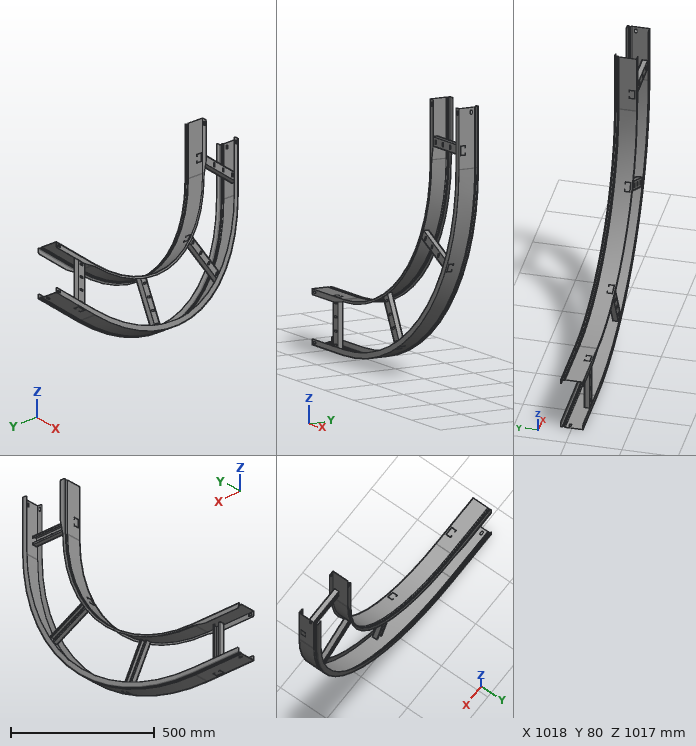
import cadquery as cq
import math

overall_x = 1018.0
overall_z = 1017.0
rail_depth = 80.0
outer_radius = 800.0
rail_spacing = 199.0
inner_radius = outer_radius - rail_spacing
center_x = overall_x - outer_radius
center_z = outer_radius

sheet = 1.5
flange_height = 21.0
corner_chamfer = 4.0
bend_radius = 3.0
bead_start = 64.0
bead_end = 75.0
bead_depth = 3.0
bead_slope = 4.0
narrow_flange = 9.0
taper_length = 61.0

slot_length = 15.0
slot_width = 7.0
slot_from_end = 17.0
flange_slot_height = 10.0
web_slot_y = 50.0

rung_width = 35.0
rung_front = 7.0
rung_depth = 20.0
lip_width = 8.0
slot_pitch = 50.0
slots_per_rung = 4
rung_to_arc = 66.0
rung_angle = 27.3


def rail_section(web_z, side):
    """Channel with a bead near its rear bend; the flanges point to +Z or -Z as side is 1 or -1."""
    arc_middle = 1 - math.cos(math.pi / 4)
    inside_radius = bend_radius - sheet

    def at(y, height):
        return y, web_z + side * height

    return (
        cq.Workplane("YZ")
        .moveTo(*at(0, flange_height))
        .lineTo(*at(0, 0))
        .lineTo(*at(bead_start, 0))
        .lineTo(*at(bead_start + bead_slope, bead_depth))
        .lineTo(*at(bead_end - bead_slope, bead_depth))
        .lineTo(*at(bead_end, 0))
        .lineTo(*at(rail_depth - bend_radius, 0))
        .threePointArc(
            at(rail_depth - bend_radius * arc_middle, bend_radius * arc_middle),
            at(rail_depth, bend_radius),
        )
        .lineTo(*at(rail_depth, flange_height))
        .lineTo(*at(rail_depth - sheet, flange_height))
        .lineTo(*at(rail_depth - sheet, bend_radius))
        .threePointArc(
            at(rail_depth - sheet - inside_radius * arc_middle, sheet + inside_radius * arc_middle),
            at(rail_depth - bend_radius, sheet),
        )
        .lineTo(*at(bead_end, sheet))
        .lineTo(*at(bead_end - bead_slope, bead_depth + sheet))
        .lineTo(*at(bead_start + bead_slope, bead_depth + sheet))
        .lineTo(*at(bead_start, sheet))
        .lineTo(*at(sheet, sheet))
        .lineTo(*at(sheet, flange_height))
        .close()
    )


def arc_point(radius, angle):
    """Point at an angle round the bend, from 0 at the lower leg to 90 at the upper leg."""
    turn = math.radians(angle)
    return center_x + radius * math.sin(turn), center_z - radius * math.cos(turn)


def plan_plane(y):
    """Sketch plane at depth y whose local axes are X and Z; its normal points to -Y."""
    return cq.Plane(origin=(0, y, 0), xDir=(1, 0, 0), normal=(0, -1, 0))


def through_plan(sketch):
    """Cutter made of a plan outline that passes through the whole depth of the rails."""
    return sketch.extrude(rail_depth, both=True)


def end_features(rail, web_radius, side):
    """Chamfer the flange corners of a rail and slot its front flange, at both ends."""
    rim = web_radius - side * flange_height
    slot_radius = web_radius - side * flange_slot_height
    lower_z = center_z - rim
    corners = [
        [(0, lower_z), (corner_chamfer, lower_z), (0, lower_z - side * corner_chamfer)],
        [
            (center_x + rim, overall_z),
            (center_x + rim, overall_z - corner_chamfer),
            (center_x + rim + side * corner_chamfer, overall_z),
        ],
    ]
    for corner in corners:
        rail = rail.cut(through_plan(cq.Workplane(plan_plane(0)).polyline(corner).close()))
    slots = [
        ((slot_from_end, center_z - slot_radius), 0),
        ((center_x + slot_radius, overall_z - slot_from_end), 90),
    ]
    for place, angle in slots:
        outline = cq.Workplane(plan_plane(0)).center(*place).slot2D(slot_length, slot_width, angle)
        rail = rail.cut(outline.extrude(-rail_depth / 2))
    return rail


def make_rail(web_radius, side):
    """Rail of two straight legs and a quarter turn; side is 1 for flanges towards the bend center."""
    path = (
        cq.Workplane(plan_plane(0))
        .moveTo(0, center_z - web_radius)
        .lineTo(*arc_point(web_radius, 0))
        .threePointArc(arc_point(web_radius, 45), arc_point(web_radius, 90))
        .lineTo(center_x + web_radius, overall_z)
    )
    rail = rail_section(center_z - web_radius, side).sweep(path)
    return end_features(rail, web_radius, side)


def make_outer_rail():
    """Outer rail, with a slot through its web near each end."""
    rail = make_rail(outer_radius, 1)
    lower_slot = (
        cq.Workplane("XY").center(slot_from_end, web_slot_y)
        .slot2D(slot_length, slot_width).extrude(flange_height / 2)
    )
    upper_slot = (
        cq.Workplane("YZ", origin=(overall_x, 0, 0)).center(web_slot_y, overall_z - slot_from_end)
        .slot2D(slot_length, slot_width, 90).extrude(-flange_height / 2)
    )
    return rail.cut(lower_slot).cut(upper_slot)


def make_inner_rail():
    """Inner rail, whose flanges taper to a narrow strip along the arc."""
    rail = make_rail(inner_radius, -1)
    full = inner_radius + flange_height
    narrow = inner_radius + narrow_flange
    trim = (
        cq.Workplane(plan_plane(0))
        .moveTo(center_x - taper_length, center_z - full)
        .lineTo(*arc_point(narrow, 0))
        .threePointArc(arc_point(narrow, 45), arc_point(narrow, 90))
        .lineTo(center_x + full, center_z + taper_length)
        .lineTo(center_x + full, center_z - full)
        .close()
    )
    return rail.cut(through_plan(trim))


def make_rung():
    """Lipped channel along +X that spans the gap between the webs; the bend center is the origin."""
    half_width = rung_width / 2
    back = rung_front + rung_depth
    half_gap = half_width - lip_width
    rung = (
        cq.Workplane("YZ", origin=(inner_radius + sheet, 0, 0))
        .polyline([
            (rung_front, -half_width),
            (rung_front, half_width),
            (back, half_width),
            (back, half_gap),
            (back - sheet, half_gap),
            (back - sheet, half_width - sheet),
            (rung_front + sheet, half_width - sheet),
            (rung_front + sheet, sheet - half_width),
            (back - sheet, sheet - half_width),
            (back - sheet, -half_gap),
            (back, -half_gap),
            (back, -half_width),
        ])
        .close()
        .extrude(rail_spacing - 2 * sheet)
    )
    slots = (
        cq.Workplane(plan_plane(rung_front))
        .center(inner_radius + rail_spacing / 2, 0)
        .rarray(slot_pitch, 10, slots_per_rung, 1)
        .slot2D(slot_length, slot_width, 90)
        .extrude(-sheet)
    )
    return rung.cut(slots)


def place_rung(rung, angle, shift_x=0, shift_z=0):
    """Turn a rung from +X to its angle round the bend, then move it to its place."""
    turned = rung.rotate((0, 0, 0), (0, 1, 0), 90 - angle)
    return turned.translate((center_x + shift_x, 0, center_z + shift_z))


outer_rail = make_outer_rail()
inner_rail = make_inner_rail()

straight_rung = make_rung()
rungs = [
    place_rung(straight_rung, 0, shift_x=-rung_to_arc),
    place_rung(straight_rung, 90, shift_z=rung_to_arc),
]
web_face = cq.Workplane("XZ").circle(outer_radius - sheet).extrude(-rail_depth)
curved_rung = make_rung().intersect(web_face)
for angle in (rung_angle, 90 - rung_angle):
    rungs.append(place_rung(curved_rung, angle))

result = cq.Compound.makeCompound([
    outer_rail.val(),
    inner_rail.val(),
    *[rung.val() for rung in rungs],
])